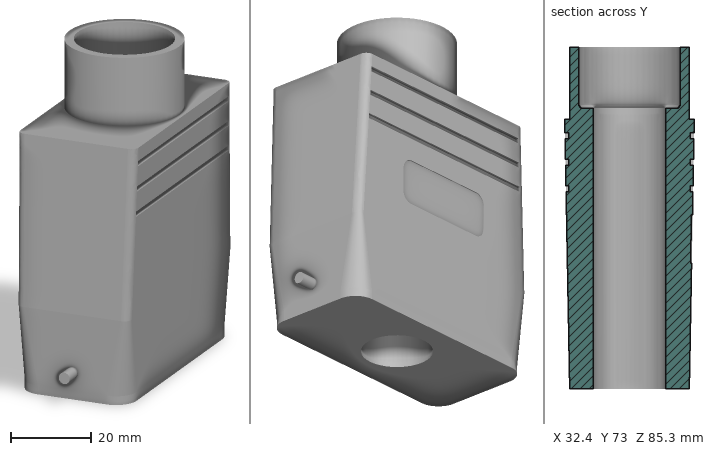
import cadquery as cq

overall_height = 85.3
body_height = 67.3
rim_height = 2.3
shoulder_height = 22.5
base_width = 30.0
top_width = 32.4
base_length = 63.1
shoulder_length = 63.3
top_length = 58.5
rim_corner_radius = 5.55
upper_corner_radius = 2.05

collar_diameter = 30.0
bore_diameter = 25.25
bore_floor_diameter = 24.2
bore_depth = 15.2
bore_taper_height = 0.7
passage_diameter = 18.0

pin_diameter = 3.0
pin_height = 7.1
pin_span = 73.0

groove_floor_span = 30.4
groove_cutter_width = 1.7
groove_height = 1.4
groove_pitch = 6.6
groove_count = 3
top_groove_height = 63.1

panel_length = 30.0
panel_height = 11.9
panel_center_height = 37.4
panel_corner_radius = 3.0
panel_depth = 0.25


def width_at(height):
    """Width of the body along X; the broad faces are flat from rim to top."""
    fraction = (height - rim_height) / (body_height - rim_height)
    return base_width + fraction * (top_width - base_width)


def length_at(height):
    """Length of the body along Y above the shoulder."""
    fraction = (height - shoulder_height) / (body_height - shoulder_height)
    return shoulder_length + fraction * (top_length - shoulder_length)


def rounded_outline(width, length, radius, height):
    """Horizontal rounded rectangle centred on the Z axis."""
    sketch = cq.Sketch().rect(width, length).vertices().fillet(radius)
    return cq.Workplane("XY").workplane(offset=height).placeSketch(sketch)


def loft_between(lower_outline, upper_outline):
    """Solid with straight sides running between two horizontal outlines."""
    wires = [outline.extrude(0.85).faces("<Z").wires().val() for outline in (lower_outline, upper_outline)]
    return cq.Workplane(cq.Solid.makeLoft(wires, True))


def make_body():
    rim_outline = rounded_outline(base_width, base_length, rim_corner_radius, 0)
    lower_outline = rounded_outline(base_width, base_length, rim_corner_radius, rim_height)
    shoulder_outline = rounded_outline(
        width_at(shoulder_height), shoulder_length, upper_corner_radius, shoulder_height
    )
    top_outline = rounded_outline(top_width, top_length, upper_corner_radius, body_height)
    rim = rim_outline.extrude(rim_height)
    lower_part = loft_between(lower_outline, shoulder_outline)
    upper_part = loft_between(shoulder_outline, top_outline)
    return rim.union(lower_part).union(upper_part)


def make_collar():
    collar = cq.Workplane("XY").workplane(offset=body_height)
    return collar.circle(collar_diameter / 2).extrude(overall_height - body_height)


def make_entry_bore():
    """Wide bore tapering to its floor, with a narrower passage through the body."""
    floor_height = overall_height - bore_depth
    profile = [
        (0, 0),
        (passage_diameter / 2, 0),
        (passage_diameter / 2, floor_height),
        (bore_floor_diameter / 2, floor_height),
        (bore_diameter / 2, floor_height + bore_taper_height),
        (bore_diameter / 2, overall_height),
        (0, overall_height),
    ]
    return cq.Workplane("XZ").polyline(profile).close().revolve(360, (0, 0), (0, 1))


def make_pins():
    pin = cq.Workplane("XZ", origin=(0, 0, pin_height)).circle(pin_diameter / 2)
    return pin.extrude(pin_span / 2, both=True)


def make_grooves():
    """Grooves with upright floors that stop where the rounded corners begin."""
    grooves = cq.Workplane("XY")
    for index in range(groove_count):
        height = top_groove_height - index * groove_pitch
        length = length_at(height) - 2 * upper_corner_radius
        for side in (-1, 1):
            center_x = side * (groove_floor_span + groove_cutter_width) / 2
            groove = cq.Workplane("XY").box(groove_cutter_width, length, groove_height)
            grooves = grooves.add(groove.translate((center_x, 0, height)))
    return grooves.combine()


def make_panel():
    """Label panel sunk parallel to the sloping -X face."""
    slope = (top_width - base_width) / 2 / (body_height - rim_height)
    face_plane = cq.Plane(
        origin=(-width_at(panel_center_height) / 2, 0, panel_center_height),
        xDir=(0, -1, 0),
        normal=(-1, 0, -slope),
    )
    panel = cq.Sketch().rect(panel_length, panel_height).vertices().fillet(panel_corner_radius)
    return cq.Workplane(face_plane).placeSketch(panel).extrude(panel_depth, both=True)


body = make_body().cut(make_grooves()).cut(make_panel())
result = body.union(make_pins()).union(make_collar()).cut(make_entry_bore())